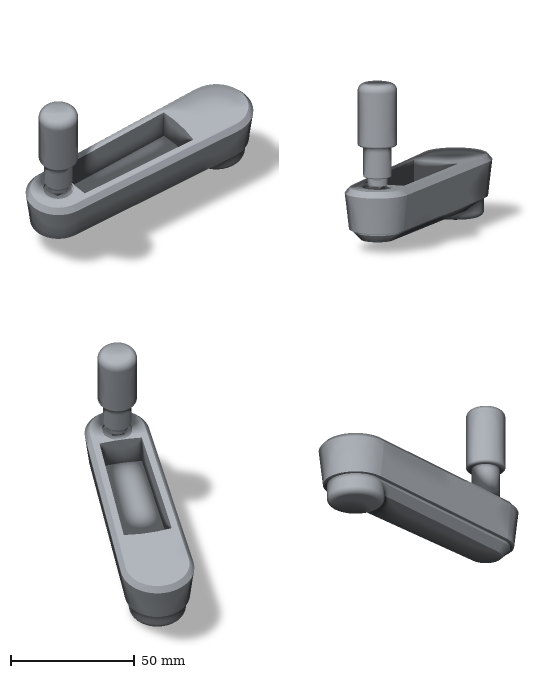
import cadquery as cq
import math

OVERALL_LENGTH = 108.3
OVERALL_HEIGHT = 68.5
AXIS_DISTANCE = 80.0
HUB_RADIUS = 30.0 / 2
TIP_RADIUS = OVERALL_LENGTH - AXIS_DISTANCE - HUB_RADIUS
TOP_CHAMFER_HEIGHT = 2.3
TOP_CHAMFER_WIDTH = 2.0
SIDE_BOTTOM_Z = -17.2
DRAFT_INSET = 1.7

LIP_INSET = DRAFT_INSET + 1.6
LIP_HEIGHT = 1.1
LIP_CHAMFER = 3.2
LIP_CHAMFER_Z = SIDE_BOTTOM_Z - LIP_HEIGHT
ARM_BOTTOM_Z = LIP_CHAMFER_Z - LIP_CHAMFER

BOSS_RADIUS = HUB_RADIUS - LIP_INSET
BOSS_BOTTOM_Z = -25.6
BOSS_FILLET = 2.4

POCKET_WALL = 4.7
POCKET_DEPTH = 13.1
POCKET_REACH_FROM_HUB = 73.8
POCKET_REACH_FROM_HANDLE = 61.7

CAP_RADIUS = 21.0 / 2
CAP_THICKNESS = 2.0

SEAT_RADIUS = 6.1
SEAT_DEPTH = 1.0

FOOT_SIDE = 5.0
COLLAR_RADIUS = 4.1
COLLAR_BOTTOM_Z = 1.0
SHANK_RADIUS = 5.7
SHANK_BOTTOM_Z = 4.2
SHANK_FILLET = 0.5
GRIP_RADIUS = 8.0
GRIP_BOTTOM_Z = 17.0
GRIP_BOTTOM_FILLET = 1.0
GRIP_TOP_Z = OVERALL_HEIGHT + BOSS_BOTTOM_Z
GRIP_TOP_FILLET = 3.0


def arm_outline(inset, z):
    """Two end arcs joined by their common tangents, shrunk by inset, at height z."""
    hub = HUB_RADIUS - inset
    tip = TIP_RADIUS - inset
    tangent_sin = (HUB_RADIUS - TIP_RADIUS) / AXIS_DISTANCE
    tangent_cos = math.sqrt(1 - tangent_sin**2)
    hub_x = hub * tangent_cos
    hub_y = -hub * tangent_sin
    tip_x = tip * tangent_cos
    tip_y = -AXIS_DISTANCE - tip * tangent_sin
    return (
        cq.Workplane("XY", origin=(0, 0, z))
        .moveTo(hub_x, hub_y)
        .threePointArc((0, hub), (-hub_x, hub_y))
        .lineTo(-tip_x, tip_y)
        .threePointArc((0, -AXIS_DISTANCE - tip), (tip_x, tip_y))
        .close()
    )


def arm_layer(top_inset, top_z, bottom_inset, bottom_z):
    """Slice of the arm whose straight-ruled side joins two outlines."""
    wires = [
        arm_outline(bottom_inset, bottom_z).val(),
        arm_outline(top_inset, top_z).val(),
    ]
    return cq.Workplane(obj=cq.Solid.makeLoft(wires, True))


def cylinder(radius, bottom_z, top_z, y=0):
    return cq.Workplane("XY", origin=(0, y, bottom_z)).circle(radius).extrude(top_z - bottom_z)


def make_pocket():
    floor_z = -POCKET_DEPTH
    sides = arm_outline(POCKET_WALL, floor_z).extrude(POCKET_DEPTH)
    tip_end = cylinder(POCKET_REACH_FROM_HUB, floor_z, 0)
    hub_end = cylinder(POCKET_REACH_FROM_HANDLE, floor_z, 0, -AXIS_DISTANCE)
    return sides.intersect(tip_end).intersect(hub_end)


def make_cap():
    return cylinder(CAP_RADIUS, -CAP_THICKNESS, 0)


def make_arm():
    top_chamfer = arm_layer(TOP_CHAMFER_WIDTH, 0, 0, -TOP_CHAMFER_HEIGHT)
    side_walls = arm_layer(0, -TOP_CHAMFER_HEIGHT, DRAFT_INSET, SIDE_BOTTOM_Z)
    lip = arm_layer(LIP_INSET, SIDE_BOTTOM_Z, LIP_INSET, LIP_CHAMFER_Z)
    lip_chamfer = arm_layer(LIP_INSET, LIP_CHAMFER_Z, LIP_INSET + LIP_CHAMFER, ARM_BOTTOM_Z)
    boss = cylinder(BOSS_RADIUS, BOSS_BOTTOM_Z, SIDE_BOTTOM_Z).faces("<Z").edges().fillet(BOSS_FILLET)
    seat = cylinder(SEAT_RADIUS, -SEAT_DEPTH, 0, -AXIS_DISTANCE)

    arm = top_chamfer.union(side_walls).union(lip).union(lip_chamfer).union(boss)
    return arm.cut(make_pocket()).cut(seat).cut(make_cap())


def make_handle():
    """Handle standing on the floor of the seat."""
    foot = (
        cq.Workplane("XY", origin=(0, -AXIS_DISTANCE, -SEAT_DEPTH))
        .rect(FOOT_SIDE, FOOT_SIDE)
        .extrude(SEAT_DEPTH + COLLAR_BOTTOM_Z)
    )
    collar = cylinder(COLLAR_RADIUS, COLLAR_BOTTOM_Z, SHANK_BOTTOM_Z, -AXIS_DISTANCE)
    shank = cylinder(SHANK_RADIUS, SHANK_BOTTOM_Z, GRIP_BOTTOM_Z, -AXIS_DISTANCE)
    shank = shank.faces("<Z").edges().fillet(SHANK_FILLET)
    grip = cylinder(GRIP_RADIUS, GRIP_BOTTOM_Z, GRIP_TOP_Z, -AXIS_DISTANCE)
    grip = grip.faces("<Z").edges().fillet(GRIP_BOTTOM_FILLET)
    grip = grip.faces(">Z").edges().fillet(GRIP_TOP_FILLET)
    return foot.union(collar).union(shank).union(grip)


arm = make_arm()
cap = make_cap()
handle = make_handle()

result = cq.Compound.makeCompound([arm.val(), cap.val(), handle.val()])